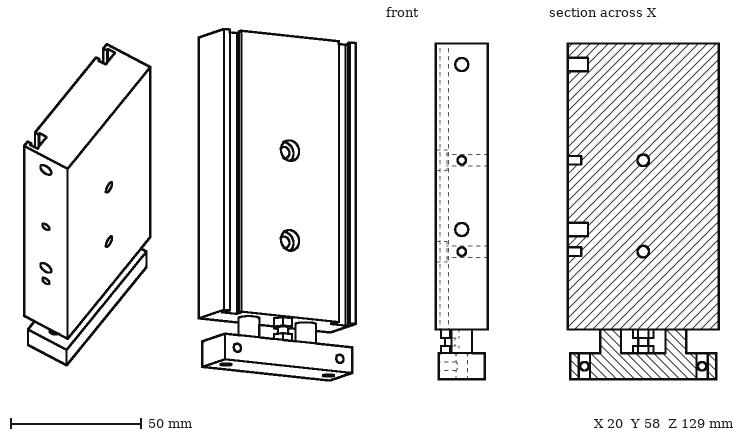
import cadquery as cq

TOTAL_HEIGHT = 129.0
PLATE_HEIGHT = 10.0
ROD_LENGTH = 9.0
HOUSING_BOTTOM = PLATE_HEIGHT + ROD_LENGTH
HOUSING_HEIGHT = TOTAL_HEIGHT - HOUSING_BOTTOM

HOUSING_WIDTH = 20.0
HOUSING_LENGTH = 58.0
FACE_X = -HOUSING_WIDTH / 2
SIDE_Y = -HOUSING_LENGTH / 2

SLOT_CENTRE_Y = 24.0
SLOT_MOUTH = 5.0
SLOT_INNER_WIDTH = 6.6
SLOT_LIP = 1.7
SLOT_DEPTH = 4.9

MOUNT_HEIGHTS = (84.1, 49.0)
MOUNT_DIAMETER = 4.4
COUNTERBORE_DIAMETER = 8.0
COUNTERBORE_DEPTH = 4.4

PORT_HEIGHTS = (120.9, 57.5)
PORT_DIAMETER = 5.0
PORT_DEPTH = 7.7
SIDE_HOLE_DIAMETER = 3.2
SIDE_HOLE_DEPTH = 5.2

PLATE_WIDTH = 17.8
PLATE_LENGTH = 56.1
ROD_DIAMETER = 8.0
ROD_OFFSET_Y = 12.5
PLATE_HOLE_OFFSET_Y = 22.6
PLATE_CROSS_HOLE_DIAMETER = 3.2
PLATE_VERTICAL_HOLE_DIAMETER = 4.3

STOPPER_X = -4.5
HEX_ACROSS_CORNERS = 8.0
STUD_DIAMETER = 4.0
NUT_HEIGHT = 2.8
HEAD_HEIGHT = 3.2


def cylinder(diameter, length, start, direction):
    return cq.Workplane(cq.Solid.makeCylinder(
        diameter / 2, length, cq.Vector(*start), cq.Vector(*direction)))


def t_slot(centre_y):
    """T-shaped channel open to the -X face, as tall as the housing."""
    mouth = (
        cq.Workplane("XY", origin=(FACE_X, centre_y, HOUSING_BOTTOM))
        .box(SLOT_DEPTH, SLOT_MOUTH, HOUSING_HEIGHT, centered=(False, True, False))
    )
    inner = (
        cq.Workplane("XY", origin=(FACE_X + SLOT_LIP, centre_y, HOUSING_BOTTOM))
        .box(SLOT_DEPTH - SLOT_LIP, SLOT_INNER_WIDTH, HOUSING_HEIGHT, centered=(False, True, False))
    )
    return mouth.union(inner)


def make_housing():
    housing = (
        cq.Workplane("XY", origin=(0, 0, HOUSING_BOTTOM))
        .box(HOUSING_WIDTH, HOUSING_LENGTH, HOUSING_HEIGHT, centered=(True, True, False))
    )
    for side in (-1, 1):
        housing = housing.cut(t_slot(side * SLOT_CENTRE_Y))

    for height in MOUNT_HEIGHTS:
        face_point = (FACE_X, 0, height)
        side_point = (0, SIDE_Y, height)
        housing = housing.cut(cylinder(MOUNT_DIAMETER, HOUSING_WIDTH, face_point, (1, 0, 0)))
        housing = housing.cut(cylinder(COUNTERBORE_DIAMETER, COUNTERBORE_DEPTH, face_point, (1, 0, 0)))
        housing = housing.cut(cylinder(SIDE_HOLE_DIAMETER, SIDE_HOLE_DEPTH, side_point, (0, 1, 0)))

    for height in PORT_HEIGHTS:
        housing = housing.cut(cylinder(PORT_DIAMETER, PORT_DEPTH, (0, SIDE_Y, height), (0, 1, 0)))
    return housing


def make_slide():
    slide = cq.Workplane("XY").box(PLATE_WIDTH, PLATE_LENGTH, PLATE_HEIGHT, centered=(True, True, False))
    for side in (-1, 1):
        rod_y = side * ROD_OFFSET_Y
        slide = slide.union(cylinder(ROD_DIAMETER, ROD_LENGTH, (0, rod_y, PLATE_HEIGHT), (0, 0, 1)))

        hole_y = side * PLATE_HOLE_OFFSET_Y
        vertical_hole = cylinder(PLATE_VERTICAL_HOLE_DIAMETER, PLATE_HEIGHT, (0, hole_y, 0), (0, 0, 1))
        cross_hole = cylinder(
            PLATE_CROSS_HOLE_DIAMETER,
            PLATE_WIDTH / 2,
            (-PLATE_WIDTH / 2, hole_y, PLATE_HEIGHT / 2),
            (1, 0, 0),
        )
        slide = slide.cut(vertical_hole).cut(cross_hole)
    return slide


def hexagon(bottom, height):
    """Hexagonal prism on the stopper axis with two corners along Y."""
    return (
        cq.Workplane("XY", origin=(STOPPER_X, 0, bottom))
        .transformed(rotate=(0, 0, 90))
        .polygon(6, HEX_ACROSS_CORNERS)
        .extrude(height)
    )


def make_stopper():
    nut = hexagon(PLATE_HEIGHT, NUT_HEIGHT)
    head = hexagon(HOUSING_BOTTOM - HEAD_HEIGHT, HEAD_HEIGHT)
    stud = cylinder(STUD_DIAMETER, ROD_LENGTH, (STOPPER_X, 0, PLATE_HEIGHT), (0, 0, 1))
    return nut.union(stud).union(head)


housing = make_housing()
slide = make_slide()
stopper = make_stopper()

result = cq.Compound.makeCompound([housing.val(), slide.val(), stopper.val()])